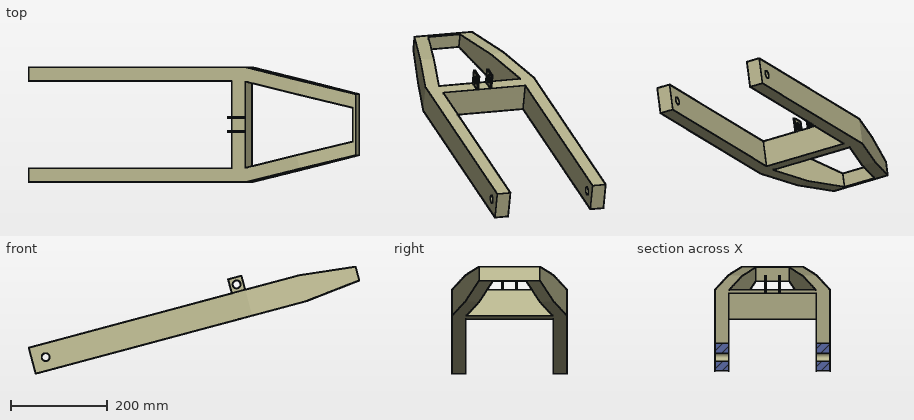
import cadquery as cq
import math

tilt_angle = 15.0
frame_width = 238.0
frame_height = 56.0
tube_width = 29.0

arm_length = 464.0
beam_depth = 29.0
beam_rear = arm_length - beam_depth
pivot_inset = 29.0
bore_diameter = 16.0

leg_reach = 233.0
nose_width = 126.0
nose_height = 30.0
leg_inset = (frame_width - nose_width) / 2
leg_length = math.hypot(leg_reach, leg_inset)
leg_angle = math.atan2(leg_inset, leg_reach)
taper_start = leg_length / 2

lug_height = 30.0
lug_thickness = 3.0
lug_spacing = 29.0
lug_bore_height = 15.0

half_width = frame_width / 2
half_height = frame_height / 2
arm_offset = half_width - tube_width / 2


def block(x_start, x_end, width, height):
    """Block centred on Y and Z, running from x_start to x_end."""
    length = x_end - x_start
    return cq.Workplane("XY").box(length, width, height).translate((x_start + length / 2, 0, 0))


def cross_bore(x, z):
    """Cylinder along Y, passing through the full frame width."""
    bore = cq.Workplane("XZ").circle(bore_diameter / 2).extrude(half_width, both=True)
    return bore.translate((x, 0, z))


def make_arm(side):
    return block(0, arm_length, tube_width, frame_height).translate((0, side * arm_offset, 0))


def make_leg():
    """Leg on the +Y side: full height at first, then tapering towards the nose."""
    profile = [
        (0, -half_height),
        (taper_start, -half_height),
        (leg_length, -nose_height / 2),
        (leg_length, nose_height / 2),
        (taper_start, half_height),
        (0, half_height),
    ]
    leg = cq.Workplane("XZ").polyline(profile).close().extrude(tube_width)
    leg = leg.rotate((0, 0, 0), (0, 0, 1), -math.degrees(leg_angle))
    return leg.translate((arm_length, half_width, 0))


def make_nose():
    """Bar filling the gap between the slanted end faces of the two legs."""
    front_x = arm_length + leg_reach
    front_y = nose_width / 2
    rear_x = front_x - tube_width * math.sin(leg_angle)
    rear_y = front_y - tube_width * math.cos(leg_angle)
    outline = [(front_x, front_y), (front_x, -front_y), (rear_x, -rear_y), (rear_x, rear_y)]
    return cq.Workplane("XY").polyline(outline).close().extrude(nose_height / 2, both=True)


def make_lug(side):
    """Plate on the cross beam, reaching from its underside to above its top."""
    plate = block(beam_rear, arm_length, lug_thickness, frame_height + lug_height)
    return plate.translate((0, side * lug_spacing / 2, lug_height / 2))


leg = make_leg()
frame = block(beam_rear, arm_length, frame_width, frame_height)
frame = frame.union(leg).union(leg.mirror("XZ")).union(make_nose())
for side in (-1, 1):
    frame = frame.union(make_arm(side)).union(make_lug(side))

frame = frame.cut(cross_bore(pivot_inset, 0))
frame = frame.cut(cross_bore(beam_rear + beam_depth / 2, half_height + lug_bore_height))

result = frame.rotate((0, 0, 0), (0, 1, 0), -tilt_angle)